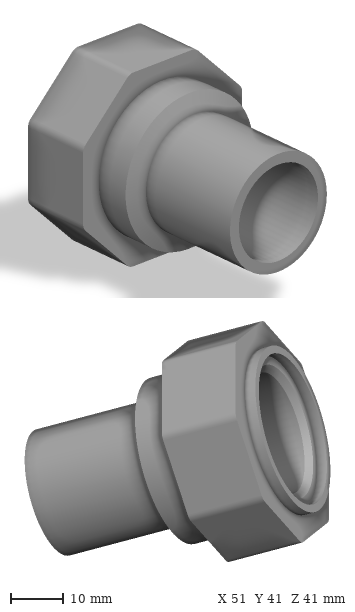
import cadquery as cq
import math

total_length = 51.0
nut_start = 2.25
nut_end = 17.95
collar_end = 25.6
shoulder_end = 27.05

collar_radius = 16.45
tube_radius = 12.5
nut_across_flats = 41.0
nut_corner_radius = 2.15
nut_sides = 8

counterbore_radius = 14.95
counterbore_depth = 2.1
chamfer_mouth_radius = 13.2
socket_radius = 12.0
bore_radius = 10.2
chamfer_length = chamfer_mouth_radius - socket_radius
socket_end = 18.6
step_taper_length = 1.0
bore_start = socket_end + step_taper_length


def revolve_about_x(profile):
    """Turn a closed list of (x, radius) points about the X axis."""
    return cq.Workplane("XY").polyline(profile).close().revolve(360, (0, 0, 0), (1, 0, 0))


def octagonal_nut():
    """Octagon with flats facing Y and Z and rounded corners along X."""
    half_side_angle = 180 / nut_sides
    across_corners = nut_across_flats / math.cos(math.radians(half_side_angle))
    return (
        cq.Workplane("YZ", origin=(nut_start, 0, 0))
        .transformed(rotate=(0, 0, half_side_angle))
        .polygon(nut_sides, across_corners)
        .extrude(nut_end - nut_start)
        .edges("|X")
        .fillet(nut_corner_radius)
    )


body = revolve_about_x([
    (0, 0),
    (0, collar_radius),
    (collar_end, collar_radius),
    (shoulder_end, tube_radius),
    (total_length, tube_radius),
    (total_length, 0),
])

cavity = revolve_about_x([
    (0, 0),
    (0, counterbore_radius),
    (counterbore_depth, counterbore_radius),
    (counterbore_depth, chamfer_mouth_radius),
    (counterbore_depth + chamfer_length, socket_radius),
    (socket_end, socket_radius),
    (bore_start, bore_radius),
    (total_length, bore_radius),
    (total_length, 0),
])

result = body.union(octagonal_nut()).cut(cavity)